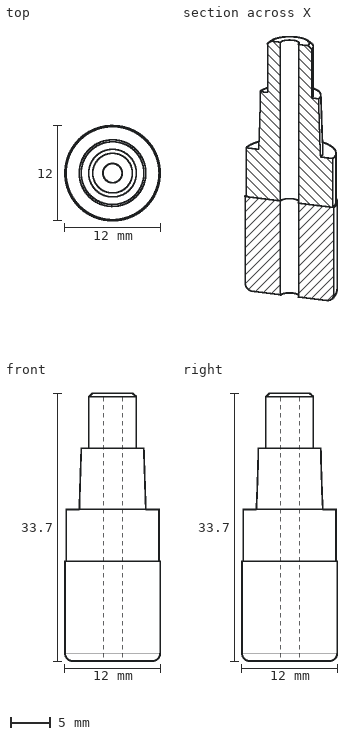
import cadquery as cq

total_height = 33.7
base_height = 12.57
collar_top = 19.07
taper_top = 26.8

base_diameter = 12.0
collar_diameter = 11.7
taper_bottom_diameter = 8.4
taper_top_diameter = 7.9
tip_diameter = 6.0
bore_diameter = 2.4

base_fillet = 1.0
tip_chamfer_height = 0.45
tip_chamfer_width = 0.5


def make_base():
    """Cylindrical base with a rounded bottom edge and a through bore."""
    body = cq.Workplane("XY").circle(base_diameter / 2).extrude(base_height)
    body = body.faces("<Z").edges().fillet(base_fillet)
    bore = cq.Workplane("XY").circle(bore_diameter / 2).extrude(base_height)
    return body.cut(bore)


def make_stem():
    """Stepped stem on top of the base: collar, taper and chamfered tip around a through bore."""
    bore_radius = bore_diameter / 2
    collar_radius = collar_diameter / 2
    tip_radius = tip_diameter / 2
    half_section = [
        (bore_radius, base_height),
        (collar_radius, base_height),
        (collar_radius, collar_top),
        (taper_bottom_diameter / 2, collar_top),
        (taper_top_diameter / 2, taper_top),
        (tip_radius, taper_top),
        (tip_radius, total_height - tip_chamfer_height),
        (tip_radius - tip_chamfer_width, total_height),
        (bore_radius, total_height),
    ]
    return cq.Workplane("XZ").polyline(half_section).close().revolve(360, (0, 0), (0, 1))


base = make_base()
stem = make_stem()

result = cq.Compound.makeCompound([base.val(), stem.val()])